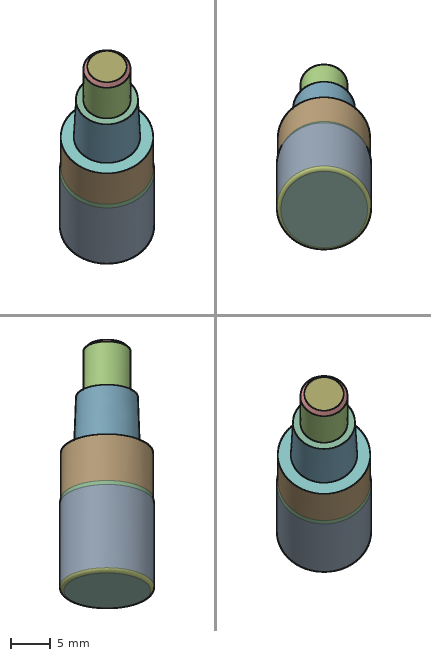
import cadquery as cq

total_height = 33.7

housing_radius = 6.0
neck_radius = 5.85
housing_height = 19.07
shoulder_bottom = 12.05
shoulder_top = 12.67
base_fillet = 0.5

collar_base_radius = 4.2
collar_top_radius = 3.95
collar_top = 26.8
tip_radius = 3.0
tip_chamfer = 0.5


def revolve_profile(points):
    """Turn a half profile of (radius, height) points about the Z axis."""
    return cq.Workplane("XZ").polyline(points).close().revolve(360, (0, 0), (0, 1))


def make_housing():
    """Cylindrical housing with a small conical shoulder and a rounded base edge."""
    body = revolve_profile([
        (0, 0),
        (housing_radius, 0),
        (housing_radius, shoulder_bottom),
        (neck_radius, shoulder_top),
        (neck_radius, housing_height),
        (0, housing_height),
    ])
    return body.faces("<Z").edges().fillet(base_fillet)


def make_plunger():
    """Plunger seated flat on the housing, with a chamfered tip."""
    body = revolve_profile([
        (0, housing_height),
        (collar_base_radius, housing_height),
        (collar_top_radius, collar_top),
        (tip_radius, collar_top),
        (tip_radius, total_height),
        (0, total_height),
    ])
    return body.faces(">Z").edges().chamfer(tip_chamfer)


housing = make_housing()
plunger = make_plunger()

result = cq.Compound.makeCompound([housing.val(), plunger.val()])